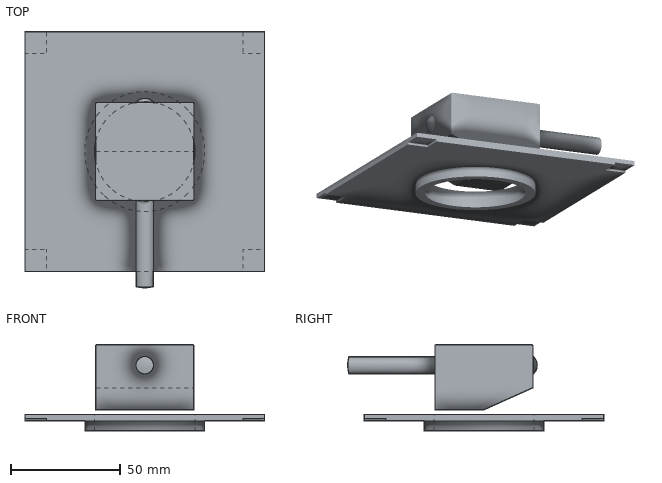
import cadquery as cq
import math

plate_side = 110.0
plate_thickness = 2.9
relief_depth = 1.0
relief_side = 10.0
collar_diameter = plate_side / 2
collar_height = 4.6
bore_diameter = 46.0
plate_bottom = collar_height
plate_top = plate_bottom + plate_thickness

overall_height = 39.5
block_side = 45.0
block_height = 29.8
block_bottom = overall_height - block_height
back_slope_rise = 10.1
edge_round = 0.6

overall_length = 117.5
lever_diameter = 8.0
lever_axis_z = 30.1
lever_front_y = plate_side / 2 - overall_length
lever_back_y = 24.4
front_dome_height = 0.6
back_dome_height = 1.8
front_rim_round = 0.4


def make_plate():
    plate = (
        cq.Workplane("XY")
        .workplane(offset=plate_bottom)
        .rect(plate_side, plate_side)
        .extrude(plate_thickness)
    )
    collar = cq.Workplane("XY").circle(collar_diameter / 2).extrude(plate_bottom)
    plate = plate.union(collar)

    corner_centre_spacing = plate_side - relief_side
    reliefs = (
        cq.Workplane("XY")
        .workplane(offset=plate_bottom)
        .rect(corner_centre_spacing, corner_centre_spacing, forConstruction=True)
        .vertices()
        .rect(relief_side, relief_side)
        .extrude(relief_depth)
    )
    plate = plate.cut(reliefs)

    bore = cq.Workplane("XY").circle(bore_diameter / 2).extrude(plate_top)
    return plate.cut(bore)


def make_block():
    half = block_side / 2
    profile = (
        cq.Workplane("YZ")
        .workplane(offset=-half)
        .moveTo(-half, block_bottom)
        .lineTo(0, block_bottom)
        .lineTo(half, block_bottom + back_slope_rise)
        .lineTo(half, overall_height)
        .lineTo(-half, overall_height)
        .close()
    )
    return profile.extrude(block_side).edges("|Z or >Z").fillet(edge_round)


def dome_rise(rim_radius, height, distance):
    """Height above its rim of a spherical cap, at a distance from the cap's axis."""
    sphere_radius = (rim_radius**2 + height**2) / (2 * height)
    return height - sphere_radius + math.sqrt(sphere_radius**2 - distance**2)


def make_lever():
    radius = lever_diameter / 2
    halfway = radius / 2
    front_rim_y = lever_front_y + front_dome_height
    back_rim_y = lever_back_y - back_dome_height
    front_rise = dome_rise(radius, front_dome_height, halfway)
    back_rise = dome_rise(radius, back_dome_height, halfway)
    half_profile = (
        cq.Workplane("YZ")
        .moveTo(lever_front_y, 0)
        .threePointArc((front_rim_y - front_rise, halfway), (front_rim_y, radius))
        .lineTo(back_rim_y, radius)
        .threePointArc((back_rim_y + back_rise, halfway), (lever_back_y, 0))
        .close()
    )
    rod = half_profile.revolve(360, (0, 0, 0), (1, 0, 0))
    front_rim = rod.edges(cq.selectors.NearestToPointSelector((0, front_rim_y, 0)))
    return front_rim.fillet(front_rim_round).translate((0, 0, lever_axis_z))


plate = make_plate()
handle = make_block().union(make_lever())

result = cq.Compound.makeCompound([plate.val(), handle.val()])